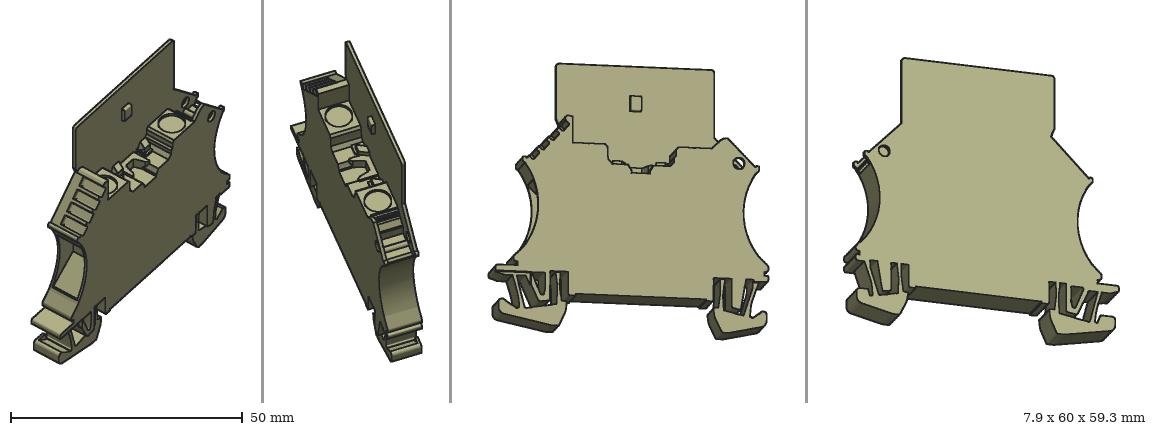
import cadquery as cq
import math

WIDTH = 7.9
FOOT_WIDTH = 6.9
PLATE = 0.85
MID_Y = 2.0
TOP_Z = 59.3
BOTTOM_Z = 6.95
SLOT_TOP = 11.75

TAB_FRONT = -15.3
TAB_BACK = 19.5
TAB_CORNER = 0.7
BUTTON_LENGTH = 2.4
BUTTON_HEIGHT = 3.3
BUTTON_Z = 51.0
BUTTON_RISE = 0.9
BUTTON_EDGE = 0.3

RIDGE_Z = 46.3
TOWER_Z = 40.3
VALLEY_Z = 36.0
SCREW_RADIUS = 2.95
SCREW_DEPTH = 0.6
SCREW_X = 4.3
FRONT_SCREW_Y = -9.95
BACK_SCREW_Y = 14.15

SHOULDER_OUT = 25.15
SHOULDER_Z = 36.6

GROOVE_COUNT = 4
GROOVE_START_X = 2.4
GROOVE_HEIGHT = 1.55
GROOVE_DEPTH = 1.2
GROOVE_FILLET = 0.27
GROOVE_LOWEST_Z = 37.1
GROOVE_HIGHEST_Z = 43.6
GROOVE_STEP = (GROOVE_HIGHEST_Z - GROOVE_LOWEST_Z) / (GROOVE_COUNT - 1)

ENTRY_SIDE_WALL = 0.6
ENTRY_BACK_Y = -15.95

LUG_TIP_Y = -30.0
LUG_STEP_Y = -22.2
LUG_STEP_LOW_Z = 8.75
LUG_STEP_HIGH_Z = 11.4

CHANNEL_RIGHT = 7.1
CROSS_BAR_Y = 23.3
CROSS_BAR_RADIUS = 0.7
CHANNEL_FLOOR_Z = 34.8
PIN_HOLE_Y = 23.5
PIN_HOLE_Z = 37.3
PIN_HOLE_RADIUS = 1.25

TROUGH_FLOOR_Z = 34.2
SADDLE_Z = 36.6
SADDLE_MID_Y = 2.05
GUSSET_RIGHT = 3.0
LEDGE_RIGHT = 3.6
LEDGE_Z = 36.5
GUSSET_Z = 37.8
GUSSET_TOP_LENGTH = 1.9
GUSSET_TAPER_LENGTH = 1.2
GUSSET_SKEW = 1.2


def draw_rounded(sketch, corners):
    """Continue an open outline through (y, z, radius) corners, rounding the inner ones."""
    for before, corner, after in zip(corners, corners[1:], corners[2:]):
        y, z, radius = corner
        if radius == 0:
            sketch = sketch.lineTo(y, z)
            continue
        here = cq.Vector(y, z)
        to_before = (cq.Vector(before[0], before[1]) - here).normalized()
        to_after = (cq.Vector(after[0], after[1]) - here).normalized()
        half_angle = to_before.getAngle(to_after) / 2
        setback = radius / math.tan(half_angle)
        bisector = (to_before + to_after).normalized()
        start = here + to_before * setback
        middle = here + bisector * (radius / math.sin(half_angle) - radius)
        end = here + to_after * setback
        sketch = sketch.lineTo(start.x, start.y).threePointArc((middle.x, middle.y), (end.x, end.y))
    return sketch.lineTo(corners[-1][0], corners[-1][1])


def side_profile(corners, x_start, x_end):
    """Extrude a closed (y, z, radius) outline along X; its first and last corners stay sharp."""
    sketch = cq.Workplane("YZ", origin=(x_start, 0, 0)).moveTo(corners[0][0], corners[0][1])
    return draw_rounded(sketch, corners).close().extrude(x_end - x_start)


def box(x_range, y_range, z_range):
    size = [high - low for low, high in (x_range, y_range, z_range)]
    corner = (x_range[0], y_range[0], z_range[0])
    return cq.Workplane("XY").box(*size, centered=False).translate(corner)


RECESS_LOW = (25.8, 17.0)
RECESS_DEEP = (22.55, 26.1)
RECESS_HIGH = (25.5, 35.45)


def mirrored(points, side):
    """Place (distance from MID_Y, z, radius) corners on the front (-1) or back (+1) side."""
    return [(MID_Y + side * out, z, radius) for out, z, radius in points]


NECK = [(27.1, 12.7, 0), (27.1, 13.5, 0), (28.0, 13.75, 0.5), (28.0, 14.8, 0.55), (*RECESS_LOW, 0)]
BEAD = [
    (*RECESS_HIGH, 0), (26.05, 35.8, 0.55), (26.05, 36.85, 0.4),
    (25.4, 36.9, 0.25), (SHOULDER_OUT, SHOULDER_Z, 0),
]

FRONT_BASE = [
    (-12.35, BOTTOM_Z, 0), (-12.35, 6.6, 0), (-14.05, 6.6, 0.35), (-14.05, SLOT_TOP, 0.25),
    (-18.0, SLOT_TOP, 0.25), (-18.0, 5.3, 0.35), (-20.5, 4.9, 0.6), (-23.15, 10.75, 0.25),
    (-27.95, 10.75, 0), (LUG_TIP_Y, 11.4, 0.3), (LUG_TIP_Y, 12.7, 0.55),
]
BACK_BASE = [
    (30.0, 12.7, 0.3), (30.0, 11.35, 0.5), (26.75, 11.35, 0), (26.75, SLOT_TOP, 0.25), (25.1, SLOT_TOP, 0.25),
    (23.95, 4.9, 0.35), (21.95, 5.35, 0.4), (21.95, SLOT_TOP, 0.25), (17.95, SLOT_TOP, 0.25),
    (17.95, 6.6, 0.35), (16.3, 6.6, 0), (16.3, BOTTOM_Z, 0),
]
TOP_LINE = [
    (-14.5, 45.25, 0), (-14.8, 45.8, 0.25), (-14.15, RIDGE_Z, 0.3), (-13.0, RIDGE_Z - 0.25, 0),
    (-13.0, TOWER_Z, 0), (-5.95, TOWER_Z, 0),
    (-5.35, 39.7, 0), (-5.35, 37.8, 0), (-5.2, 36.95, 0), (-4.25, VALLEY_Z, 0),
    (8.3, VALLEY_Z, 0), (9.25, 36.95, 0), (9.25, 37.9, 0), (9.7, 38.4, 0),
    (9.7, 39.8, 0), (10.25, TOWER_Z, 0), (17.5, TOWER_Z, 0), (19.8, 42.6, 1.8), (21.0, 42.8, 0),
]


def make_housing():
    front_recess = [(MID_Y - out, z) for out, z in (RECESS_DEEP, RECESS_HIGH)]
    back_recess = [(MID_Y + out, z) for out, z in (RECESS_DEEP, RECESS_LOW)]
    front_low = FRONT_BASE + mirrored(NECK, -1)
    above = mirrored(BEAD, -1) + TOP_LINE + mirrored(BEAD, 1)[::-1]
    back_low = mirrored(NECK, 1)[::-1] + BACK_BASE
    sketch = cq.Workplane("YZ").moveTo(front_low[0][0], front_low[0][1])
    sketch = draw_rounded(sketch, front_low).threePointArc(*front_recess)
    sketch = draw_rounded(sketch, above).threePointArc(*back_recess)
    return draw_rounded(sketch, back_low).close().extrude(WIDTH)


def make_tab():
    outline = [
        (-14.5, 45.25, 0), (TAB_FRONT, 47.05, 0), (TAB_FRONT, TOP_Z, TAB_CORNER),
        (TAB_BACK, TOP_Z, TAB_CORNER), (TAB_BACK, 44.3, 0), (21.0, 42.8, 0),
        (21.0, CHANNEL_FLOOR_Z, 0), (-14.5, CHANNEL_FLOOR_Z, 0),
    ]
    tab = side_profile(outline, 0, PLATE)
    button = (
        cq.Workplane("YZ", origin=(PLATE, (TAB_FRONT + TAB_BACK) / 2, BUTTON_Z))
        .rect(BUTTON_LENGTH, BUTTON_HEIGHT).extrude(BUTTON_RISE)
        .faces(">X").edges("|Y").fillet(BUTTON_EDGE)
    )
    return tab.union(button)


FRONT_FOOT = [
    (-15.55, 12.0, 0), (-15.7, 9.0, 6), (-15.3, 5.5, 0), (-14.1, 5.4, 0.2), (-14.35, 3.3, 3),
    (-15.85, 0.0, 0.5), (-17.5, 0.0, 0.6), (-29.15, 2.35, 1.45), (-29.15, 5.45, 0.7), (-25.85, 5.45, 0),
    (-25.1, 3.55, 0.2), (-24.55, 3.8, 0.2), (-24.8, 6.35, 21), (-26.35, 11.5, 0),
]
FRONT_FOOT_OPENING = [
    (-16.6, SLOT_TOP, 0), (-16.2, 8.7, 3.6), (-16.4, 4.75, 0.3), (-23.35, 3.55, 0.4), (-25.45, SLOT_TOP, 0),
]
BACK_FOOT = [
    (19.6, 12.0, 0), (19.6, 8.7, 6), (19.2, 5.5, 0), (18.05, 5.3, 0.2), (18.35, 3.3, 3),
    (20.0, 0.0, 0.5), (21.6, 0.0, 0.6), (29.8, 1.85, 1.45), (29.8, 5.05, 0.7), (27.25, 5.05, 0),
    (26.8, 3.55, 0.2), (26.15, 3.8, 0.2), (26.4, 6.55, 6), (27.9, 10.85, 0), (28.4, 12.0, 0),
]
BACK_FOOT_OPENING = [
    (20.65, SLOT_TOP, 0), (20.2, 8.1, 3.6), (20.4, 4.9, 0.25), (24.7, 3.9, 0.35),
    (26.75, 10.2, 3), (26.75, SLOT_TOP, 0),
]
WEDGE_WINDOW = [
    (-19.1, 10.2, 0), (-19.1, 11.35, 0.3), (-22.1, 11.35, 0.35),
    (-20.05, 6.35, 0.5), (-19.4, 6.5, 0.35), (-19.1, 7.85, 0),
]

HOOK_RIM = 0.6
FRONT_HOOK_HOLLOW = [(-25.0, 3.4, 0), (-26.8, 4.5, 1.2), (-28.15, 5.45, 0), (-25.4, 5.45, 0)]
BACK_HOOK_HOLLOW = [(26.65, 3.4, 0), (28.8, 5.05, 0), (26.95, 5.05, 0)]


def make_foot(outline, opening, hollow):
    return (
        side_profile(outline, 0, FOOT_WIDTH)
        .cut(side_profile(opening, 0, FOOT_WIDTH))
        .cut(side_profile(hollow, HOOK_RIM, FOOT_WIDTH))
    )


def make_entry():
    """Tapered conductor entry in the front recess."""
    outline = [
        (-22.9, 17.65, 0), (ENTRY_BACK_Y, 22.8, 0), (ENTRY_BACK_Y, 26.95, 0),
        (-21.55, 32.0, 0), (-27.0, 32.0, 0), (-27.0, 17.65, 0),
    ]
    return side_profile(outline, ENTRY_SIDE_WALL, WIDTH - ENTRY_SIDE_WALL)


def make_grooves():
    """Grooves square to the 45 degree front shoulder."""
    groove_length = GROOVE_HEIGHT * math.sqrt(2)
    blank = box(
        (GROOVE_START_X, WIDTH + GROOVE_DEPTH),
        (-groove_length / 2, groove_length / 2),
        (-GROOVE_DEPTH, GROOVE_DEPTH),
    )
    blank = blank.faces("<Z").edges().fillet(GROOVE_FILLET)
    grooves = cq.Workplane("XY")
    for index in range(GROOVE_COUNT):
        z = GROOVE_LOWEST_Z + GROOVE_HEIGHT / 2 + index * GROOVE_STEP
        y = MID_Y - SHOULDER_OUT + (z - SHOULDER_Z)
        groove = blank.rotate((0, 0, 0), (1, 0, 0), 45).translate((0, y, z))
        grooves = grooves.union(groove)
    return grooves


def make_channel():
    """Stepped channel behind the back shoulder, with a round cross bar on its floor."""
    outline = [
        (28.1, 45.0, 0), (28.1, 35.15, 0), (27.0, 35.15, 0), (27.0, 33.95, 0), (25.8, CHANNEL_FLOOR_Z, 0),
        (20.45, CHANNEL_FLOOR_Z, 0), (20.45, 37.2, 0), (20.05, 37.2, 0), (18.85, 38.4, 0),
        (18.25, 38.4, 0), (18.25, 39.0, 0), (17.8, 39.0, 0), (17.8, 39.7, 0), (17.2, 39.7, 0),
        (17.2, 45.0, 0),
    ]
    channel = side_profile(outline, PLATE, CHANNEL_RIGHT)
    bar = (
        cq.Workplane("YZ", origin=(PLATE, CROSS_BAR_Y, CHANNEL_FLOOR_Z))
        .circle(CROSS_BAR_RADIUS).extrude(CHANNEL_RIGHT - PLATE)
    )
    return channel.cut(bar)


def make_screw_recess(y):
    return (
        cq.Workplane("XY", origin=(SCREW_X, y, TOWER_Z - SCREW_DEPTH))
        .circle(SCREW_RADIUS).extrude(SCREW_DEPTH)
    )


def make_lug_step():
    """Relief under the front lug, beside the narrower foot."""
    return box((FOOT_WIDTH, WIDTH), (LUG_TIP_Y, LUG_STEP_Y), (LUG_STEP_LOW_Z, LUG_STEP_HIGH_Z))


def make_trough():
    """Cross trough sunk into the valley floor."""
    outline = [
        (4.75, VALLEY_Z, 0), (4.0, 34.8, 0), (4.0, TROUGH_FLOOR_Z, 0),
        (-0.1, TROUGH_FLOOR_Z, 0), (-0.1, 34.8, 0), (-0.55, 35.4, 0), (-0.9, VALLEY_Z, 0),
    ]
    return side_profile(outline, PLATE, WIDTH)


def make_saddle():
    """Raised saddle with a tapered notch that opens towards +X."""
    half_length = 3.05
    tip_x = 5.15
    half_notch = [(5.45, 2.75), (4.75, 2.15), (2.7, 1.55)]
    notch_bottom_x = 2.15
    outline = [(PLATE, half_length), (tip_x, half_length), *half_notch, (notch_bottom_x, 1.2)]
    outline += [(x, -y) for x, y in reversed(outline)]
    return (
        cq.Workplane("XY", origin=(0, SADDLE_MID_Y, TROUGH_FLOOR_Z))
        .polyline(outline).close().extrude(SADDLE_Z - TROUGH_FLOOR_Z)
    )


def make_gusset(y_high, ledge_high, ledge_low):
    """Skewed gusset with a sloping front, standing on a low ledge beside the thin wall."""
    y_low = y_high - GUSSET_TOP_LENGTH - GUSSET_TAPER_LENGTH
    reach = GUSSET_RIGHT - PLATE
    near = [
        (y_high, VALLEY_Z), (y_high, GUSSET_Z),
        (y_high - GUSSET_TOP_LENGTH, GUSSET_Z), (y_low, VALLEY_Z),
    ]
    far = [(y - GUSSET_SKEW, z) for y, z in near]
    prism = (
        cq.Workplane("YZ", origin=(PLATE, 0, 0)).polyline(near).close()
        .workplane(offset=reach).polyline(far).close().loft(ruled=True)
    )
    gusset = prism.intersect(box((PLATE, GUSSET_RIGHT), (y_low, y_high), (VALLEY_Z, GUSSET_Z)))
    ledge = box((PLATE, LEDGE_RIGHT), (ledge_low, ledge_high), (VALLEY_Z, LEDGE_Z))
    return gusset.union(ledge)


pin_hole = (
    cq.Workplane("YZ", origin=(0, PIN_HOLE_Y, PIN_HOLE_Z))
    .circle(PIN_HOLE_RADIUS).extrude(WIDTH)
)

housing = (
    make_housing()
    .cut(make_entry())
    .cut(make_grooves())
    .cut(make_channel())
    .cut(pin_hole)
    .cut(make_screw_recess(FRONT_SCREW_Y))
    .cut(make_screw_recess(BACK_SCREW_Y))
    .cut(side_profile(WEDGE_WINDOW, 0, WIDTH))
    .cut(make_trough())
    .cut(make_lug_step())
)

result = (
    housing
    .union(make_tab())
    .union(make_foot(FRONT_FOOT, FRONT_FOOT_OPENING, FRONT_HOOK_HOLLOW))
    .union(make_foot(BACK_FOOT, BACK_FOOT_OPENING, BACK_HOOK_HOLLOW))
    .union(make_saddle())
    .union(make_gusset(9.4, 8.3, 6.1))
    .union(make_gusset(-0.1, -1.9, -4.25))
)